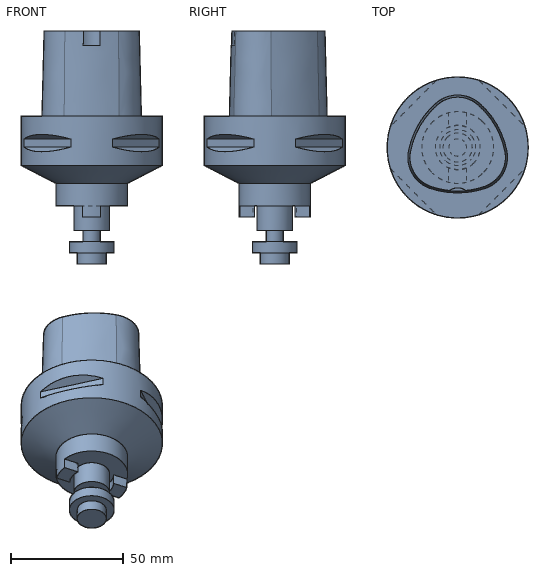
import cadquery as cq
import math

total_height = 104
flange_top = 66.0
flange_bottom = 44.0
boss_top = 36.0
boss_bottom = 26
key_bottom = 21.0
stem_bottom = 15.0
disk_top = 10.0
disk_bottom = 5.0

flange_diameter = 63.0
boss_diameter = 32.0
stem_diameter = 16.0
neck_diameter = 7.8
disk_diameter = 20.0
tip_diameter = 13.0

key_width = 8.0
key_inner_diameter = 19.5

lobe_reach = 23.4
side_reach = 20.3
lobe_radius = 14.7
shank_taper = 1 / 40

notch_depth = 6.5
notch_radius = 6.1
notch_innermost_y = -18.0

groove_count = 4
groove_start_angle = 45
groove_level = 54.0
groove_floor_height = 3.5
groove_floor_distance = 27.9
groove_wall_angle = 30


def polar(radius, angle):
    """Point at an angle in degrees about the origin."""
    turn = math.radians(angle)
    return radius * math.cos(turn), radius * math.sin(turn)


def turned_body():
    flange_radius = flange_diameter / 2
    boss_radius = boss_diameter / 2
    stem_radius = stem_diameter / 2
    neck_radius = neck_diameter / 2
    disk_radius = disk_diameter / 2
    tip_radius = tip_diameter / 2
    half_profile = [
        (0, 0),
        (tip_radius, 0),
        (tip_radius, disk_bottom),
        (disk_radius, disk_bottom),
        (disk_radius, disk_top),
        (neck_radius, disk_top),
        (neck_radius, stem_bottom),
        (stem_radius, stem_bottom),
        (stem_radius, boss_bottom),
        (boss_radius, boss_bottom),
        (boss_radius, boss_top),
        (flange_radius, flange_bottom),
        (flange_radius, flange_top),
        (0, flange_top),
    ]
    return cq.Workplane("XZ").polyline(half_profile).close().revolve(360, (0, 0), (0, 1))


def shank_outline(plane, inset):
    """Six tangent arcs: a lobe toward +Y and every 120 degrees, flatter sides between."""
    lobe = lobe_reach - inset
    side = side_reach - inset
    corner = lobe_radius - inset
    lobe_offset = lobe - corner
    tangency_gap = side - lobe_offset / 2
    lobe_offset_x = lobe_offset * math.cos(math.radians(30))
    side_radius = (lobe_offset_x**2 + tangency_gap**2 - corner**2) / (2 * (tangency_gap - corner))
    joint_x = side_radius * lobe_offset_x / (side_radius - corner)
    joint_y = side_radius - side - math.sqrt(side_radius**2 - joint_x**2)
    joint_distance = math.hypot(joint_x, joint_y)
    half_side_angle = math.degrees(math.atan2(joint_x, -joint_y))

    outline = plane.moveTo(*polar(joint_distance, -90 - half_side_angle))
    for side_angle in (-90, 30, 150):
        lobe_angle = side_angle + 60
        next_side_angle = side_angle + 120
        outline = outline.threePointArc(
            polar(side, side_angle), polar(joint_distance, side_angle + half_side_angle)
        )
        outline = outline.threePointArc(
            polar(lobe, lobe_angle), polar(joint_distance, next_side_angle - half_side_angle)
        )
    return outline.close()


def shank():
    height = total_height - flange_top
    base = shank_outline(cq.Workplane("XY", origin=(0, 0, flange_top)), 0)
    top = shank_outline(base.workplane(offset=height), height * shank_taper)
    return top.loft(ruled=True)


def notch_cutter():
    return (
        cq.Workplane("XY", origin=(0, notch_innermost_y - notch_radius, total_height))
        .circle(notch_radius)
        .extrude(-notch_depth)
    )


def drive_keys():
    """Two opposite keys along Y, rounded inside and outside."""
    ring = (
        cq.Workplane("XY", origin=(0, 0, key_bottom))
        .circle(boss_diameter / 2)
        .circle(key_inner_diameter / 2)
        .extrude(boss_bottom - key_bottom)
    )
    bar = (
        cq.Workplane("XY", origin=(0, 0, key_bottom))
        .rect(key_width, boss_diameter)
        .extrude(boss_bottom - key_bottom)
    )
    return ring.intersect(bar)


def groove_cutter():
    """Straight trapezoidal groove across the +X side of the flange, opening outward."""
    outer = flange_diameter / 2
    half_floor = groove_floor_height / 2
    depth = outer - groove_floor_distance
    half_mouth = half_floor + depth * math.tan(math.radians(groove_wall_angle))
    return (
        cq.Workplane("XZ")
        .polyline([
            (groove_floor_distance, groove_level - half_floor),
            (outer, groove_level - half_mouth),
            (outer, groove_level + half_mouth),
            (groove_floor_distance, groove_level + half_floor),
        ])
        .close()
        .extrude(outer, both=True)
    )


result = turned_body().union(shank().cut(notch_cutter())).union(drive_keys())
for index in range(groove_count):
    angle = groove_start_angle + index * 360 / groove_count
    result = result.cut(groove_cutter().rotate((0, 0, 0), (0, 0, 1), angle))